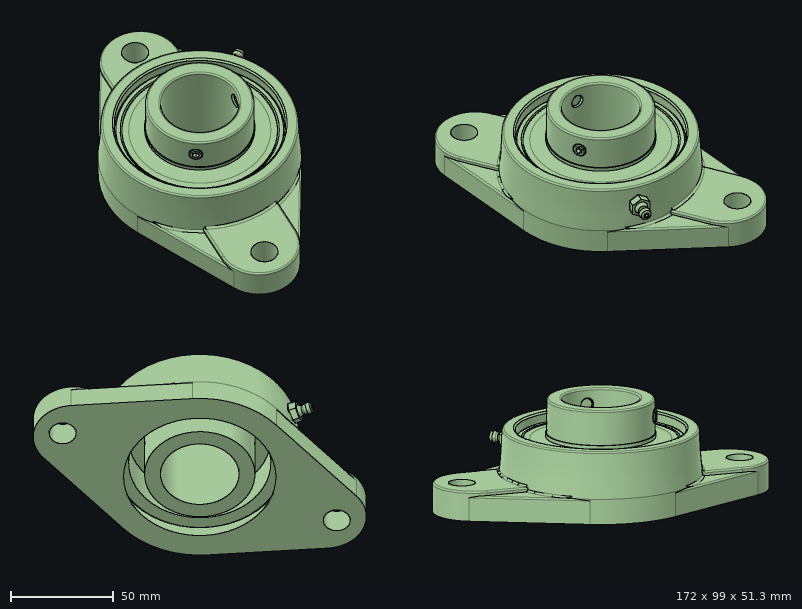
import cadquery as cq
import math

OVERALL_LENGTH = 172.0
LUG_RADIUS = 20.0
LUG_X = OVERALL_LENGTH / 2 - LUG_RADIUS
BOLT_HOLE_DIAMETER = 13.0
BOLT_HOLE_X = 72.0
FLANGE_RADIUS = 49.5
WEB_HEIGHT = 12.7
PAD_HEIGHT = 15.0
FLANGE_FILLET = 0.9
BOSS_HEIGHT = 36.1
BOSS_TOP_RADIUS = 48.0
BOSS_TOP_FILLET = 0.9
BOSS_BASE_FILLET = 1.0

BEARING_CENTER_Z = 21.0
SEAT_RADIUS = 85.1 / 2
HOUSING_BORE_RADIUS = 83.2 / 2
HOUSING_MOUTH_CHAMFER = 0.9
OUTER_RING_WIDTH = 20.6
OUTER_RING_CHAMFER = 0.7
OUTER_RING_TOP = BEARING_CENTER_Z + OUTER_RING_WIDTH / 2
OUTER_RING_BORE_RADIUS = 69.1 / 2
SEAL_RADIUS = 37.8
SEAL_THICKNESS = 2.0
SEAL_INSET = 0.2
SEAL_CONE_RISE = 0.9
SEAL_SEAT_CHAMFER = 0.9

INNER_RING_TOP = 51.3
INNER_RING_BOTTOM = 2.0
SHAFT_BORE_RADIUS = 38.2 / 2
LAND_RADIUS = 53.7 / 2
LAND_TOP = 33.9
COLLAR_RADIUS = 52.8 / 2
COLLAR_FILLET = 0.9

SCREW_ANGLES = (-30, 90)
SCREW_Z = 43.2
SCREW_DIAMETER = 6.7
SCREW_INNER_END = 20.0
SCREW_OUTER_END = 27.3
SCREW_CHAMFER = 0.5
SOCKET_ACROSS_FLATS = 3.0
SOCKET_DEPTH = 2.5

NIPPLE_ANGLE = 135
NIPPLE_Z = 25.8
SHANK_START = 44.7
SHANK_DIAMETER = 5.2
HEX_START = 48.2
HEX_END = 52.3
HEX_ACROSS_FLATS = 9.0
NECK_DISTANCE = 54.2
NECK_RADIUS = 2.2
SHOULDER_RADIUS = 6.7 / 2
HEAD_START = 55.2
HEAD_START_RADIUS = 2.5
HEAD_DISTANCE = 56.8
HEAD_RADIUS = 6.0 / 2
BEVEL_START = 58.7
BEVEL_RADIUS = 2.5
TIP_DISTANCE = 59.2
TIP_RADIUS = 1.4
GREASE_HOLE_DIAMETER = 1.51
GREASE_HOLE_DEPTH = 1.7


def radial_plane(angle, distance, z):
    """Plane at a distance from the bearing axis whose normal points radially outward."""
    a = math.radians(angle)
    outward = (math.cos(a), math.sin(a), 0)
    tangent = (-math.sin(a), math.cos(a), 0)
    return cq.Plane(
        origin=(distance * outward[0], distance * outward[1], z), xDir=tangent, normal=outward
    )


def radial_cylinder(angle, start, end, z, diameter):
    plane = radial_plane(angle, start, z)
    return cq.Workplane(plane).circle(diameter / 2).extrude(end - start)


def hexagon_prism(plane, across_flats, length):
    """Hexagonal prism with corners at top and bottom."""
    across_corners = across_flats / math.cos(math.radians(30))
    return (
        cq.Workplane(plane)
        .transformed(rotate=(0, 0, 90))
        .polygon(6, across_corners)
        .extrude(length)
    )


def revolved(points):
    """Solid of revolution about Z from (radius, z) points."""
    return cq.Workplane("XZ").polyline(points).close().revolve(360, (0, 0), (0, 1))


def flange_plate(height, inset=0):
    """Rhombic plate, a central disc joined to the two lugs by tangent lines, with its rim inset."""
    disc_radius = FLANGE_RADIUS - inset
    lug_radius = LUG_RADIUS - inset
    cos_tangent = (disc_radius - lug_radius) / LUG_X
    sin_tangent = math.sqrt(1 - cos_tangent**2)
    disc_x = disc_radius * cos_tangent
    disc_y = disc_radius * sin_tangent
    lug_x = LUG_X + lug_radius * cos_tangent
    lug_y = lug_radius * sin_tangent
    return (
        cq.Workplane("XY")
        .moveTo(-disc_x, disc_y)
        .threePointArc((0, disc_radius), (disc_x, disc_y))
        .lineTo(lug_x, lug_y)
        .threePointArc((LUG_X + lug_radius, 0), (lug_x, -lug_y))
        .lineTo(disc_x, -disc_y)
        .threePointArc((0, -disc_radius), (-disc_x, -disc_y))
        .lineTo(-lug_x, -lug_y)
        .threePointArc((-LUG_X - lug_radius, 0), (-lug_x, lug_y))
        .close()
        .extrude(height)
    )


def web_edge_rounding(web):
    """Slivers that round the top edge of the web outside the boss."""
    rounded_web = web.faces(">Z").edges().fillet(FLANGE_FILLET)
    boss_footprint = cq.Workplane("XY").circle(FLANGE_RADIUS).extrude(WEB_HEIGHT)
    return web.cut(rounded_web).cut(boss_footprint)


def bolt_pads():
    """Raised strip with round ends that carries both bolt holes."""
    return (
        cq.Workplane("XY")
        .slot2D(OVERALL_LENGTH, 2 * LUG_RADIUS)
        .extrude(PAD_HEIGHT)
        .faces(">Z")
        .edges()
        .fillet(FLANGE_FILLET)
    )


def boss_radius(z):
    """Radius of the drafted boss wall at a height."""
    draft = (FLANGE_RADIUS - BOSS_TOP_RADIUS) / (BOSS_HEIGHT - WEB_HEIGHT)
    return FLANGE_RADIUS - draft * (z - WEB_HEIGHT)


def boss():
    return (
        revolved([
            (0, WEB_HEIGHT),
            (FLANGE_RADIUS, WEB_HEIGHT),
            (BOSS_TOP_RADIUS, BOSS_HEIGHT),
            (0, BOSS_HEIGHT),
        ])
        .faces(">Z")
        .edges()
        .fillet(BOSS_TOP_FILLET)
    )


def boss_base_fillet(floor_z):
    """Concave ring that blends the boss wall into a flat floor at the given height."""
    wall = boss_radius(floor_z)
    inner = wall - 2 * BOSS_BASE_FILLET
    outer = wall + BOSS_BASE_FILLET
    top_z = floor_z + BOSS_BASE_FILLET
    inset = BOSS_BASE_FILLET * (1 - math.sqrt(0.5))
    return (
        cq.Workplane("XZ")
        .moveTo(inner, floor_z)
        .lineTo(inner, top_z)
        .lineTo(boss_radius(top_z), top_z)
        .threePointArc((wall + inset, floor_z + inset), (outer, floor_z))
        .close()
        .revolve(360, (0, 0), (0, 1))
    )


def flange_base_fillets():
    """Boss fillets on the web and on the pads, trimmed to the flat areas below them."""
    flat_web = flange_plate(PAD_HEIGHT, FLANGE_FILLET)
    flat_pads = (
        cq.Workplane("XY")
        .slot2D(OVERALL_LENGTH - 2 * FLANGE_FILLET, 2 * (LUG_RADIUS - FLANGE_FILLET))
        .extrude(BOSS_HEIGHT)
    )
    web_fillet = boss_base_fillet(WEB_HEIGHT).intersect(flat_web)
    pad_fillet = boss_base_fillet(PAD_HEIGHT).intersect(flat_pads)
    return web_fillet, pad_fillet


def seat_sphere_radius(z):
    """Radius at a height of the sphere shared by the housing seat and the outer ring."""
    return math.sqrt(SEAT_RADIUS**2 - (z - BEARING_CENTER_Z) ** 2)


def bearing_seat():
    """Spherical seat, open upward through a straight bore with a chamfered mouth."""
    seat_top = BEARING_CENTER_Z + math.sqrt(SEAT_RADIUS**2 - HOUSING_BORE_RADIUS**2)
    return (
        cq.Workplane("XZ")
        .lineTo(seat_sphere_radius(0), 0)
        .threePointArc((SEAT_RADIUS, BEARING_CENTER_Z), (HOUSING_BORE_RADIUS, seat_top))
        .lineTo(HOUSING_BORE_RADIUS, BOSS_HEIGHT - HOUSING_MOUTH_CHAMFER)
        .lineTo(HOUSING_BORE_RADIUS + HOUSING_MOUTH_CHAMFER, BOSS_HEIGHT)
        .lineTo(0, BOSS_HEIGHT)
        .close()
        .revolve(360, (0, 0), (0, 1))
    )


def make_housing(nipple):
    web = flange_plate(WEB_HEIGHT)
    web = web.cut(web_edge_rounding(web))
    body = web.union(bolt_pads()).union(boss())
    for fillet in flange_base_fillets():
        body = body.union(fillet)
    body = body.cut(bearing_seat())
    bolt_holes = (
        cq.Workplane("XY")
        .pushPoints([(-BOLT_HOLE_X, 0), (BOLT_HOLE_X, 0)])
        .circle(BOLT_HOLE_DIAMETER / 2)
        .extrude(PAD_HEIGHT)
    )
    return body.cut(bolt_holes).cut(nipple)


def make_outer_ring():
    """Ring with a spherical outside and a chamfered recess for the seal."""
    bottom = OUTER_RING_TOP - OUTER_RING_WIDTH
    lower_edge = bottom + OUTER_RING_CHAMFER
    upper_edge = OUTER_RING_TOP - OUTER_RING_CHAMFER
    edge_radius = seat_sphere_radius(upper_edge)
    face_radius = edge_radius - OUTER_RING_CHAMFER
    recess_floor = OUTER_RING_TOP - SEAL_INSET - SEAL_THICKNESS
    return (
        cq.Workplane("XZ")
        .moveTo(OUTER_RING_BORE_RADIUS, bottom)
        .lineTo(face_radius, bottom)
        .lineTo(edge_radius, lower_edge)
        .threePointArc((SEAT_RADIUS, BEARING_CENTER_Z), (edge_radius, upper_edge))
        .lineTo(face_radius, OUTER_RING_TOP)
        .lineTo(SEAL_RADIUS + SEAL_SEAT_CHAMFER, OUTER_RING_TOP)
        .lineTo(SEAL_RADIUS, OUTER_RING_TOP - SEAL_SEAT_CHAMFER)
        .lineTo(SEAL_RADIUS, recess_floor)
        .lineTo(OUTER_RING_BORE_RADIUS, recess_floor)
        .close()
        .revolve(360, (0, 0), (0, 1))
    )


def make_seal():
    """Annular seal whose inner part rises as a shallow cone toward the inner ring."""
    rim_z = OUTER_RING_TOP - SEAL_INSET
    return revolved([
        (LAND_RADIUS, rim_z - SEAL_THICKNESS),
        (SEAL_RADIUS, rim_z - SEAL_THICKNESS),
        (SEAL_RADIUS, rim_z),
        (OUTER_RING_BORE_RADIUS, rim_z),
        (LAND_RADIUS, rim_z + SEAL_CONE_RISE),
    ])


def make_inner_ring():
    """Inner ring with a wide land under the seal and a narrower clamping collar above it."""
    ring = revolved([
        (SHAFT_BORE_RADIUS, INNER_RING_BOTTOM),
        (LAND_RADIUS, INNER_RING_BOTTOM),
        (LAND_RADIUS, LAND_TOP),
        (COLLAR_RADIUS, LAND_TOP),
        (COLLAR_RADIUS, INNER_RING_TOP),
        (SHAFT_BORE_RADIUS, INNER_RING_TOP),
    ])
    ring = ring.faces(">Z").edges().fillet(COLLAR_FILLET)
    for angle in SCREW_ANGLES:
        ring = ring.cut(radial_cylinder(angle, 0, LAND_RADIUS, SCREW_Z, SCREW_DIAMETER))
    return ring


def make_set_screw(angle):
    """Set screw with a hexagon socket in its outer end."""
    screw = (
        radial_cylinder(angle, SCREW_INNER_END, SCREW_OUTER_END, SCREW_Z, SCREW_DIAMETER)
        .edges()
        .chamfer(SCREW_CHAMFER)
    )
    socket_plane = radial_plane(angle, SCREW_OUTER_END - SOCKET_DEPTH, SCREW_Z)
    return screw.cut(hexagon_prism(socket_plane, SOCKET_ACROSS_FLATS, SOCKET_DEPTH))


def make_nipple():
    shank = radial_cylinder(NIPPLE_ANGLE, SHANK_START, HEX_END, NIPPLE_Z, SHANK_DIAMETER)
    hex_plane = radial_plane(NIPPLE_ANGLE, HEX_START, NIPPLE_Z)
    hexagon = hexagon_prism(hex_plane, HEX_ACROSS_FLATS, HEX_END - HEX_START)
    head = (
        revolved([
            (0, HEX_END),
            (SHOULDER_RADIUS, HEX_END),
            (NECK_RADIUS, NECK_DISTANCE),
            (HEAD_START_RADIUS, HEAD_START),
            (HEAD_RADIUS, HEAD_DISTANCE),
            (BEVEL_RADIUS, BEVEL_START),
            (TIP_RADIUS, TIP_DISTANCE),
            (0, TIP_DISTANCE),
        ])
        .rotate((0, 0, 0), (0, 1, 0), 90)
        .rotate((0, 0, 0), (0, 0, 1), NIPPLE_ANGLE)
        .translate((0, 0, NIPPLE_Z))
    )
    grease_hole = radial_cylinder(
        NIPPLE_ANGLE, TIP_DISTANCE - GREASE_HOLE_DEPTH, TIP_DISTANCE, NIPPLE_Z, GREASE_HOLE_DIAMETER
    )
    return shank.union(hexagon).union(head).cut(grease_hole)


nipple = make_nipple()
housing = make_housing(nipple)
outer_ring = make_outer_ring()
inner_ring = make_inner_ring()
seal = make_seal()
set_screws = [make_set_screw(angle) for angle in SCREW_ANGLES]

result = cq.Compound.makeCompound([
    housing.val(),
    nipple.val(),
    outer_ring.val(),
    inner_ring.val(),
    seal.val(),
    *[screw.val() for screw in set_screws],
])